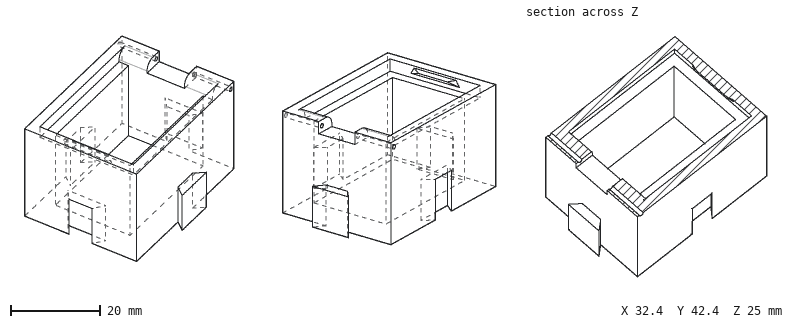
import cadquery as cq

length = 40.0
width = 29.98
height = 25.0
wall = 5.0
floor_thickness = 2.0

rim_wall = 2.5
recess_depth = 3.0
ledge_z = height - recess_depth

hinge_rim = 2.65
hinge_radius = wall - hinge_rim
hinge_gap = 10.0
pin_diameter = 1.0
pin_from_back = 1.25
pin_from_top = 1.5

catch_tip_width = 7.95
catch_top_width = 11.6
catch_bottom_width = 13.4
catch_reach = 0.9
catch_top_z = height - 0.5
catch_tip_z = height - 1.0
catch_bottom_z = height - 2.0

dovetail_height = 10.0
rail_neck = 5.98
rail_tip = 10.0
rail_depth = 2.4
socket_clearance = 0.13

center_x = width / 2
center_y = length / 2


def box(x_size, y_size, z_size, corner):
    """Block placed by its low X, low Y, low Z corner."""
    return cq.Workplane("XY").box(x_size, y_size, z_size, centered=False).translate(corner)


def dovetail(clearance=0):
    """Upright dovetail growing from the origin toward +Y, narrow at its root."""
    half_neck = (rail_neck + clearance) / 2
    half_tip = (rail_tip + clearance) / 2
    depth = rail_depth + clearance
    outline = [(-half_neck, 0), (half_neck, 0), (half_tip, depth), (-half_tip, depth)]
    return cq.Workplane("XY").polyline(outline).close().extrude(dovetail_height)


def toward_plus_x(shape):
    """Turn a shape that points along +Y to point along +X."""
    return shape.rotate((0, 0, 0), (0, 0, 1), -90)


def hinge_bar():
    """Rounded bar across the back of the recess, before the lid gap is cut."""
    back_y = length - rim_wall
    tangent_y = length - hinge_rim
    front_y = length - wall
    return (
        cq.Workplane("YZ")
        .moveTo(back_y, ledge_z)
        .lineTo(back_y, height)
        .lineTo(tangent_y, height)
        .radiusArc((front_y, height - hinge_radius), -hinge_radius)
        .lineTo(front_y, ledge_z)
        .close()
        .extrude(width - 2 * rim_wall)
        .translate((rim_wall, 0, 0))
    )


def catch():
    """Tapered wedge whose upper and lower faces meet at a narrow inner edge."""
    def edge(edge_width, y, z):
        return [cq.Vector(center_x + side * edge_width / 2, y, z) for side in (-1, 1)]

    top_left, top_right = edge(catch_top_width, rim_wall, catch_top_z)
    tip_left, tip_right = edge(catch_tip_width, rim_wall + catch_reach, catch_tip_z)
    low_left, low_right = edge(catch_bottom_width, rim_wall, catch_bottom_z)
    outlines = [
        [top_left, top_right, tip_right, tip_left],
        [low_left, low_right, tip_right, tip_left],
        [top_left, top_right, low_right, low_left],
        [top_left, tip_left, low_left],
        [top_right, tip_right, low_right],
    ]
    faces = [cq.Face.makeFromWires(cq.Wire.makePolygon(points, close=True)) for points in outlines]
    return cq.Workplane(cq.Solid.makeSolid(cq.Shell.makeShell(faces)))


body = box(width, length, height, (0, 0, 0))
body = body.cut(box(width - 2 * wall, length - 2 * wall, height, (wall, wall, floor_thickness)))
body = body.cut(box(width - 2 * rim_wall, length - 2 * rim_wall, recess_depth, (rim_wall, rim_wall, ledge_z)))

body = body.union(hinge_bar())
body = body.cut(box(hinge_gap, wall, recess_depth, (center_x - hinge_gap / 2, length - wall, ledge_z)))
pin_hole = (
    cq.Workplane("YZ")
    .center(length - pin_from_back, height - pin_from_top)
    .circle(pin_diameter / 2)
    .extrude(width)
)
body = body.cut(pin_hole)

body = body.union(catch())

body = body.union(dovetail().translate((center_x, length, 0)))
body = body.union(toward_plus_x(dovetail()).translate((width, center_y, 0)))
body = body.cut(dovetail(socket_clearance).translate((center_x, 0, 0)))
body = body.cut(toward_plus_x(dovetail(socket_clearance)).translate((0, center_y, 0)))

result = body